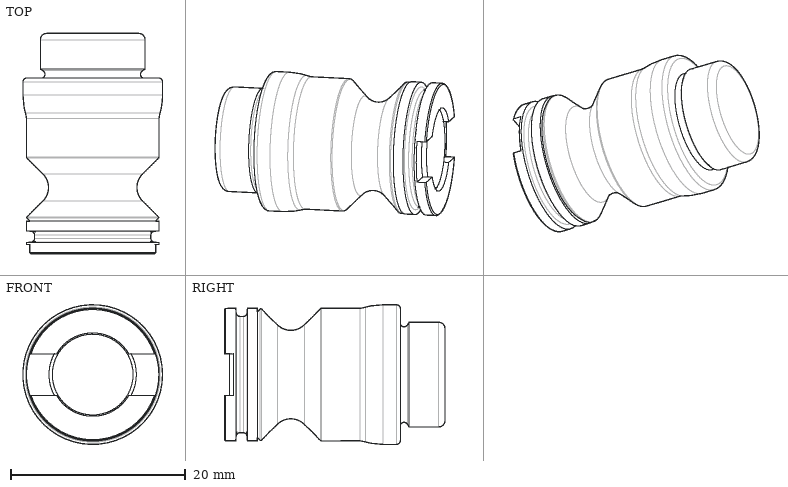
import cadquery as cq
import math

LENGTH = 25.23
CONE_ANGLE = math.radians(45)

SPIGOT_RADIUS = 6.0
SPIGOT_ROUND = 0.75
SPIGOT_FRONT_Y = 21.12
RELIEF_REAR_Y = 20.95
RELIEF_EDGE_RADIUS = 5.73
RELIEF_BOTTOM_RADIUS = 5.47

COLLAR_RADIUS = 8.0
COLLAR_REAR_Y = 20.13
COLLAR_ROUND = 0.48
COLLAR_FRONT_Y = 18.15
TAPER_FRONT_Y = 16.12
TAPER_FRONT_RADIUS = 7.72
BLEND_FRONT_Y = 15.5

BARREL_RADIUS = 7.6
WAIST_Y = 7.6
WAIST_RADIUS = 5.07
WAIST_HALF_WIDTH = 1.55
CONE_EDGE_ROUND = 0.2
CREST_ROUND = 0.1

RING_REAR_Y = 3.75
RING_EDGE_CHAMFER = 0.15
SEAL_GROOVE_REAR_Y = 2.62
SEAL_GROOVE_FRONT_Y = 1.3
SEAL_GROOVE_RADIUS = 6.65
SEAL_GROOVE_DRAFT = 0.08
SEAL_GROOVE_ROUND = 0.4
SLOT_WIDTH = 4.75
SLOT_DEPTH = 1.05
RING_MOUTH_RADIUS = 4.77

STEM_RADIUS = 5.0
STEM_TIP_RADIUS = 4.62
STEM_TIP_Y = 0.55
STEM_CONE_Y = SLOT_DEPTH

arc_radius = WAIST_HALF_WIDTH / math.sin(CONE_ANGLE)
arc_end_radius = WAIST_RADIUS + arc_radius * (1 - math.cos(CONE_ANGLE))
cone_length = BARREL_RADIUS - arc_end_radius
cone_rear_y = WAIST_Y + WAIST_HALF_WIDTH + cone_length
cone_front_y = WAIST_Y - WAIST_HALF_WIDTH - cone_length
seat_radius = BARREL_RADIUS - (cone_front_y - RING_REAR_Y)
stem_cone_slope = (STEM_RADIUS - STEM_TIP_RADIUS) / (STEM_CONE_Y - STEM_TIP_Y)
ring_mouth_y = STEM_CONE_Y - (STEM_RADIUS - RING_MOUTH_RADIUS) / stem_cone_slope


def revolve_about_y(profile):
    return profile.close().revolve(360, (0, 0, 0), (0, 1, 0))


def round_circle_edge(solid, radius, y, size):
    """Round the circular edge of the given radius at the given Y."""
    margin = 0.013
    selector = cq.selectors.BoxSelector(
        (-radius - margin, y - margin, -radius - margin),
        (radius + margin, y + margin, radius + margin),
        boundingbox=True,
    )
    circles = solid.edges(selector).edges("%CIRCLE")
    wanted = circles.filter(lambda edge: abs(edge.radius() - radius) < margin)
    return wanted.fillet(size)


def taper_radius_at(y):
    """Radius of the curved taper at Y: an arc tangent to the collar, ending at the blend."""
    drop = COLLAR_RADIUS - TAPER_FRONT_RADIUS
    run = COLLAR_FRONT_Y - TAPER_FRONT_Y
    bend_radius = (run**2 + drop**2) / (2 * drop)
    offset = COLLAR_FRONT_Y - y
    return COLLAR_RADIUS - bend_radius + math.sqrt(bend_radius**2 - offset**2)


def make_body():
    """Spigot, collar, barrel, waist and conical-ended stem."""
    taper_middle_y = (COLLAR_FRONT_Y + TAPER_FRONT_Y) / 2
    profile = (
        cq.Workplane("XY")
        .moveTo(0, LENGTH)
        .lineTo(SPIGOT_RADIUS, LENGTH)
        .lineTo(SPIGOT_RADIUS, SPIGOT_FRONT_Y)
        .lineTo(RELIEF_EDGE_RADIUS, RELIEF_REAR_Y)
        .threePointArc(
            (RELIEF_BOTTOM_RADIUS, (RELIEF_REAR_Y + COLLAR_REAR_Y) / 2),
            (RELIEF_EDGE_RADIUS, COLLAR_REAR_Y),
        )
        .lineTo(COLLAR_RADIUS, COLLAR_REAR_Y)
        .lineTo(COLLAR_RADIUS, COLLAR_FRONT_Y)
        .threePointArc(
            (taper_radius_at(taper_middle_y), taper_middle_y),
            (TAPER_FRONT_RADIUS, TAPER_FRONT_Y),
        )
        .tangentArcPoint((BARREL_RADIUS, BLEND_FRONT_Y), relative=False)
        .lineTo(BARREL_RADIUS, cone_rear_y)
        .lineTo(arc_end_radius, WAIST_Y + WAIST_HALF_WIDTH)
        .threePointArc(
            (WAIST_RADIUS, WAIST_Y),
            (arc_end_radius, WAIST_Y - WAIST_HALF_WIDTH),
        )
        .lineTo(BARREL_RADIUS, cone_front_y)
        .lineTo(seat_radius, RING_REAR_Y)
        .lineTo(STEM_RADIUS, RING_REAR_Y)
        .lineTo(STEM_RADIUS, STEM_CONE_Y)
        .lineTo(STEM_TIP_RADIUS, STEM_TIP_Y)
        .lineTo(0, STEM_TIP_Y)
    )
    solid = revolve_about_y(profile)
    solid = round_circle_edge(solid, SPIGOT_RADIUS, LENGTH, SPIGOT_ROUND)
    solid = round_circle_edge(solid, COLLAR_RADIUS, COLLAR_REAR_Y, COLLAR_ROUND)
    solid = round_circle_edge(solid, BARREL_RADIUS, cone_rear_y, CONE_EDGE_ROUND)
    return round_circle_edge(solid, BARREL_RADIUS, cone_front_y, CREST_ROUND)


def make_ring():
    """Ring around the stem, with a seal groove and a slot across its front face."""
    floor_front_y = SEAL_GROOVE_FRONT_Y + SEAL_GROOVE_DRAFT
    floor_rear_y = SEAL_GROOVE_REAR_Y - SEAL_GROOVE_DRAFT
    profile = (
        cq.Workplane("XY")
        .moveTo(RING_MOUTH_RADIUS, 0)
        .lineTo(BARREL_RADIUS - RING_EDGE_CHAMFER, 0)
        .lineTo(BARREL_RADIUS, RING_EDGE_CHAMFER)
        .lineTo(BARREL_RADIUS, SEAL_GROOVE_FRONT_Y)
        .lineTo(SEAL_GROOVE_RADIUS, floor_front_y)
        .lineTo(SEAL_GROOVE_RADIUS, floor_rear_y)
        .lineTo(BARREL_RADIUS, SEAL_GROOVE_REAR_Y)
        .lineTo(BARREL_RADIUS, RING_REAR_Y)
        .lineTo(STEM_RADIUS, RING_REAR_Y)
        .lineTo(STEM_RADIUS, STEM_CONE_Y)
        .lineTo(RING_MOUTH_RADIUS, ring_mouth_y)
    )
    solid = revolve_about_y(profile)
    for groove_y in (floor_front_y, floor_rear_y):
        solid = round_circle_edge(solid, SEAL_GROOVE_RADIUS, groove_y, SEAL_GROOVE_ROUND)
    slot = cq.Workplane("XY").box(2 * COLLAR_RADIUS, 2 * SLOT_DEPTH, SLOT_WIDTH)
    return solid.cut(slot)


body = make_body()
ring = make_ring()
result = cq.Compound.makeCompound([body.val(), ring.val()])